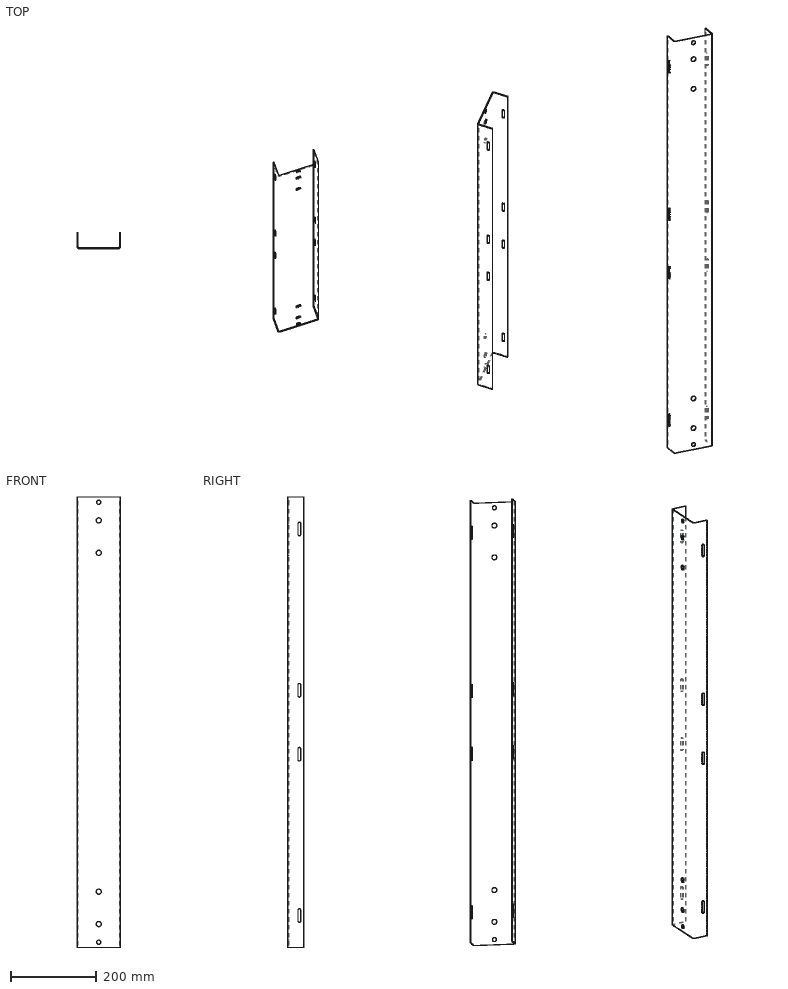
import cadquery as cq

LENGTH = 1060.0
WIDTH = 102.0
DEPTH = 38.0
THICKNESS = 2.7
INNER_RADIUS = 2.0
OUTER_RADIUS = INNER_RADIUS + THICKNESS

END_HOLE = (13.0, 10.0)
MIDDLE_HOLE = (55.0, 12.0)
INNER_HOLE = (131.0, 12.0)

SLOT_LENGTH = 32.0
SLOT_WIDTH = 5.8
SLOT_FROM_FREE_EDGE = 11.0
SLOT_FROM_END = 75.0
SLOT_FROM_CENTER = 75.0

WEB_Y = -DEPTH / 2
FREE_EDGE_Y = DEPTH / 2
HALF_LENGTH = LENGTH / 2


def rounded_block(width, web_y, radius):
    """Full-length block behind web_y with its two web-side edges rounded."""
    block_depth = FREE_EDGE_Y - web_y
    return (
        cq.Workplane("XY")
        .box(width, block_depth, LENGTH)
        .translate((0, web_y + block_depth / 2, 0))
        .edges("|Z and <Y")
        .fillet(radius)
    )


def make_channel():
    """Bent sheet channel, open towards +Y."""
    outside = rounded_block(WIDTH, WEB_Y, OUTER_RADIUS)
    inside = rounded_block(WIDTH - 2 * THICKNESS, WEB_Y + THICKNESS, INNER_RADIUS)
    return outside.cut(inside)


def web_holes(end_distance, diameter):
    """Cutters for one hole near each end of the web."""
    z = HALF_LENGTH - end_distance
    return (
        cq.Workplane("XZ")
        .pushPoints([(0, z), (0, -z)])
        .circle(diameter / 2)
        .extrude(DEPTH, both=True)
    )


def flange_slots():
    """Cutters for the slots, each passing through both flanges."""
    y = FREE_EDGE_Y - SLOT_FROM_FREE_EDGE
    outer_z = HALF_LENGTH - SLOT_FROM_END
    heights = (-outer_z, -SLOT_FROM_CENTER, SLOT_FROM_CENTER, outer_z)
    return (
        cq.Workplane("YZ")
        .pushPoints([(y, z) for z in heights])
        .slot2D(SLOT_LENGTH, SLOT_WIDTH, 90)
        .extrude(WIDTH, both=True)
    )


result = make_channel()
for distance, hole_diameter in (END_HOLE, MIDDLE_HOLE, INNER_HOLE):
    result = result.cut(web_holes(distance, hole_diameter))
result = result.cut(flange_slots())